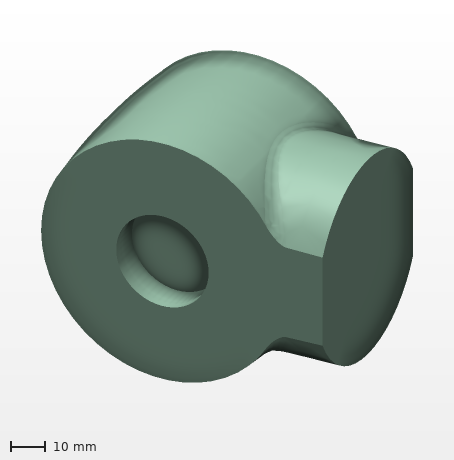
import cadquery as cq
import math

width = 58.0
barrel_radius = 40.93
rim_radius = 39.4
rim_width = 0.5
neck_reach = 51.99
neck_end_radius = 32.5
neck_root_radius = 33.0
neck_band_width = 0.3
blend_radius = 5.0
bore_diameter = 30.0
bore_depth = 10.0

half_width = width / 2
crown_half_width = half_width - rim_width
crown_drop = barrel_radius - rim_radius
crown_arc_radius = (crown_half_width**2 + crown_drop**2) / (2 * crown_drop)
crown_side_radius = barrel_radius - crown_arc_radius + math.sqrt(crown_arc_radius**2 - half_width**2)
taper_length = neck_reach - neck_band_width


def make_barrel():
    """Crowned drum turned about the Y axis, its crown carried through to the flat sides."""
    return (
        cq.Workplane("XY")
        .moveTo(0, -half_width)
        .lineTo(crown_side_radius, -half_width)
        .threePointArc((barrel_radius, 0), (crown_side_radius, half_width))
        .lineTo(0, half_width)
        .close()
        .revolve(360, (0, 0, 0), (0, 1, 0))
    )


def make_rim_band(side):
    """Straight disc at one flat side (side is -1 or 1), standing slightly proud of the crown."""
    return (
        cq.Workplane("XZ", origin=(0, side * half_width, 0))
        .circle(rim_radius)
        .extrude(side * rim_width)
    )


def make_neck():
    """Tapered round neck along +X, trimmed flush with the flat sides."""
    round_neck = (
        cq.Workplane("XZ")
        .lineTo(0, neck_root_radius)
        .lineTo(taper_length, neck_end_radius)
        .lineTo(neck_reach, neck_end_radius)
        .lineTo(neck_reach, 0)
        .close()
        .revolve(360, (0, 0, 0), (1, 0, 0))
    )
    slab = cq.Workplane("XY").box(2 * neck_reach, width, 4 * neck_root_radius)
    return round_neck.intersect(slab)


def seam_edges(solid):
    """Edges where the neck leaves the barrel: the only free-form curves well short of the neck's end."""
    return [
        edge
        for edge in solid.edges("%BSPLINE").vals()
        if edge.BoundingBox().xmax < taper_length - blend_radius
    ]


body = make_barrel().union(make_neck())
body = body.newObject(seam_edges(body)).fillet(blend_radius)
for side in (-1, 1):
    body = body.union(make_rim_band(side))

bore = (
    cq.Workplane("XZ", origin=(0, -half_width, 0))
    .circle(bore_diameter / 2)
    .extrude(-bore_depth)
)
result = body.cut(bore)